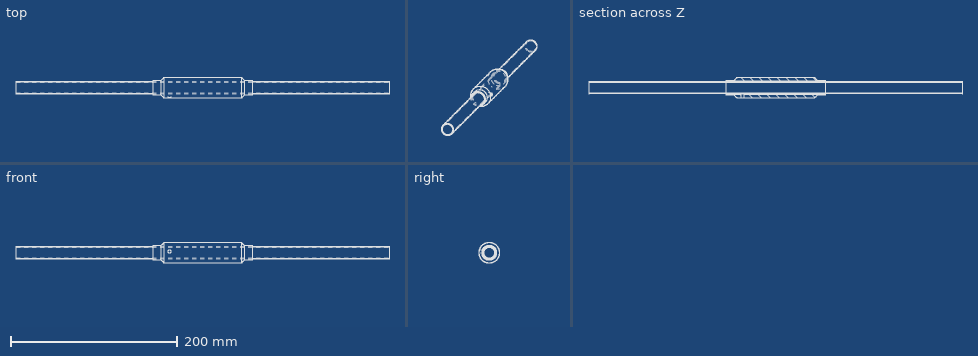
import cadquery as cq

tube_length = 450.0
tube_outer_diameter = 15.0
tube_inner_diameter = 13.0

barrel_length = 100.0
barrel_diameter = 25.0
neck_length = 10.0
neck_diameter = 18.0
sleeve_length = barrel_length + 2 * neck_length
sleeve_bore_diameter = 15.3

side_hole_diameter = 4.0
side_hole_end_distance = 10.0
side_hole_height = 1.5


def make_tube():
    return (
        cq.Workplane("YZ", origin=(-tube_length / 2, 0, 0))
        .circle(tube_outer_diameter / 2)
        .circle(tube_inner_diameter / 2)
        .extrude(tube_length)
    )


def make_side_hole_cutter():
    hole_x = -barrel_length / 2 + side_hole_end_distance
    return (
        cq.Workplane("XZ", origin=(hole_x, 0, side_hole_height))
        .circle(side_hole_diameter / 2)
        .extrude(barrel_diameter)
    )


def make_sleeve():
    bore_radius = sleeve_bore_diameter / 2
    neck_radius = neck_diameter / 2
    barrel_radius = barrel_diameter / 2
    sleeve_end = sleeve_length / 2
    shoulder_start = barrel_length / 2
    shoulder_top = shoulder_start - (barrel_radius - neck_radius)

    half_section = (
        cq.Workplane("XY")
        .moveTo(-sleeve_end, bore_radius)
        .lineTo(-sleeve_end, neck_radius)
        .lineTo(-shoulder_start, neck_radius)
        .lineTo(-shoulder_top, barrel_radius)
        .lineTo(shoulder_top, barrel_radius)
        .lineTo(shoulder_start, neck_radius)
        .lineTo(sleeve_end, neck_radius)
        .lineTo(sleeve_end, bore_radius)
        .close()
    )
    turned_body = half_section.revolve(360, (0, 0, 0), (1, 0, 0))
    return turned_body.cut(make_side_hole_cutter())


tube = make_tube()
sleeve = make_sleeve()

result = cq.Compound.makeCompound([tube.val(), sleeve.solids().val()])